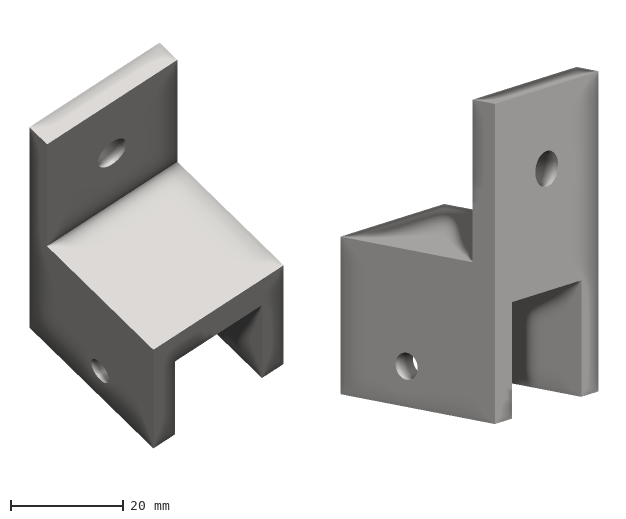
import cadquery as cq

length = 35.0
width = 30.0
height = 58.95

wall = 5.0
block_height = 29.0

channel_width = width - 2 * wall
channel_height = 21.45

pin_diameter = 5.0
pin_x = 20.0
pin_z = 7.5

bolt_diameter = 6.6
bolt_z = (block_height + height) / 2


def box_on_base(size_x, size_y, size_z):
    """Box starting at X = 0, centred on Y and standing on Z = 0."""
    return cq.Workplane("XY").box(size_x, size_y, size_z, centered=(False, True, False))


plate = box_on_base(wall, width, height)
block = box_on_base(length, width, block_height)
channel = box_on_base(length, channel_width, channel_height)

pin_hole = (
    cq.Workplane("XZ")
    .center(pin_x, pin_z)
    .circle(pin_diameter / 2)
    .extrude(width / 2, both=True)
)
bolt_hole = (
    cq.Workplane("YZ")
    .center(0, bolt_z)
    .circle(bolt_diameter / 2)
    .extrude(wall)
)

result = plate.union(block).cut(channel).cut(pin_hole).cut(bolt_hole)